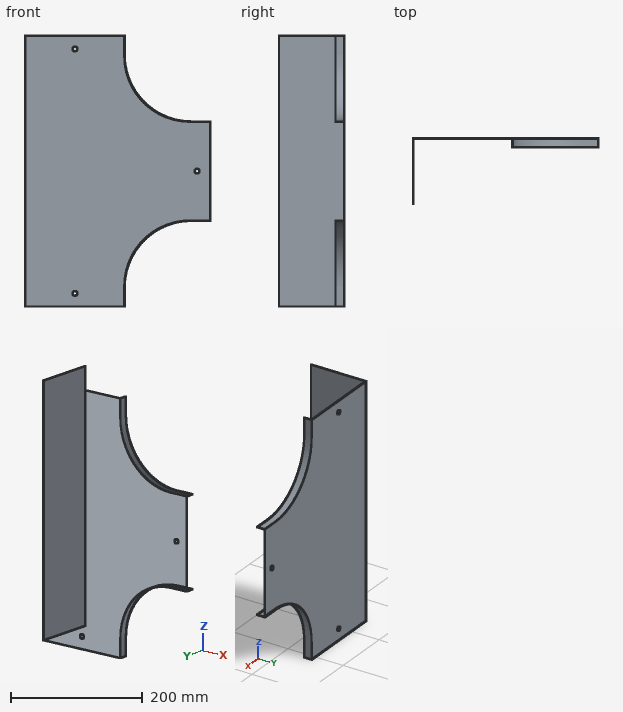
import cadquery as cq

height = 412.0
branch_width = 151.5
side_wall_depth = 100.0
lip_depth = 14.0
bend_radius = 100.0
sheet = 1.0
hole_diameter = 7.0
hole_edge_distance = 20.0

corner_drop = (height - branch_width) / 2
length = branch_width + corner_drop
straight_end = corner_drop - bend_radius


def corner_cutout(lip, depth):
    """Upper corner region outside the tee, pulled back into the sheet by lip."""
    inner_x = branch_width - lip
    inner_z = branch_width / 2 - lip
    arc_radius = bend_radius + lip
    arc_end_x = inner_x + arc_radius
    arc_end_z = inner_z + arc_radius
    return (
        cq.Workplane("XZ")
        .moveTo(inner_x, height / 2)
        .lineTo(inner_x, arc_end_z)
        .radiusArc((arc_end_x, inner_z), -arc_radius)
        .lineTo(arc_end_x + straight_end, inner_z)
        .lineTo(arc_end_x + straight_end, height / 2)
        .close()
        .extrude(depth)
    )


def block(x_size, depth):
    """Full-height block with its back face on the XZ plane, extending toward -Y."""
    return cq.Workplane("XZ").rect(x_size, height).extrude(depth).translate((x_size / 2, 0, 0))


upper_cutout = corner_cutout(0, lip_depth)
lower_cutout = upper_cutout.mirror("XY")
tee = block(length, sheet).cut(upper_cutout).cut(lower_cutout)

upper_lip = corner_cutout(sheet, lip_depth).cut(upper_cutout)
lower_lip = upper_lip.mirror("XY")

side_wall = block(sheet, side_wall_depth)

hole_height = height / 2 - hole_edge_distance
hole_centers = [
    (branch_width / 2, hole_height),
    (branch_width / 2, -hole_height),
    (length - hole_edge_distance, 0),
]
holes = (
    cq.Workplane("XZ")
    .pushPoints(hole_centers)
    .circle(hole_diameter / 2)
    .extrude(sheet)
)

result = tee.union(upper_lip).union(lower_lip).union(side_wall).cut(holes)